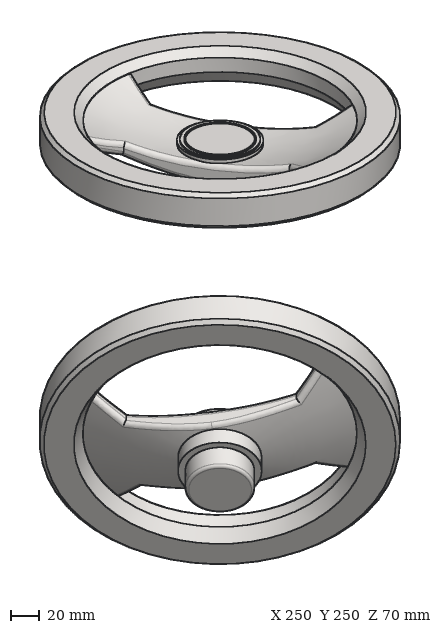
import cadquery as cq
import math

rim_radius = 125.0
rim_height = 27.5
rim_edge_chamfer = 3.0
bore_radius = 95.0
bore_flare = 6.2
upper_flare_depth = 6.0
lower_flare_depth = 10.2

web_radius = bore_radius + 2.5
dish_inner_radius = 27.5
dish_middle_radius = 68.5
top_inner_z = 3.0
top_middle_z = 11.0
top_outer_z = 22.2
bottom_inner_z = -12.8
bottom_middle_z = 0.0
bottom_outer_z = 11.8
web_edge_fillet = 3.8

bar_half_width = 32.8
bar_half_length = 60.0

collar_radius = 29.0
collar_bottom_z = -25.0
shank_radius = 24.0
shank_bottom_z = -42.5
shank_end_fillet = 2.2
cap_base_radius = 30.0
cap_radius = 28.0
cap_step_z = 6.0
cap_top_z = 7.0
cap_groove_outer_radius = 25.0
cap_groove_inner_radius = 24.0
cap_groove_depth = 0.5


def make_rim():
    flare_radius = bore_radius + bore_flare
    profile = (
        cq.Workplane("XZ")
        .moveTo(flare_radius, 0)
        .lineTo(rim_radius - rim_edge_chamfer, 0)
        .lineTo(rim_radius, rim_edge_chamfer)
        .lineTo(rim_radius, rim_height - rim_edge_chamfer)
        .lineTo(rim_radius - rim_edge_chamfer, rim_height)
        .lineTo(flare_radius, rim_height)
        .lineTo(bore_radius, rim_height - upper_flare_depth)
        .lineTo(bore_radius, lower_flare_depth)
        .close()
    )
    return profile.revolve(360, (0, 0, 0), (0, 1, 0))


def make_dish():
    profile = (
        cq.Workplane("XZ")
        .moveTo(0, bottom_inner_z)
        .lineTo(dish_inner_radius, bottom_inner_z)
        .threePointArc((dish_middle_radius, bottom_middle_z), (web_radius, bottom_outer_z))
        .lineTo(web_radius, top_outer_z)
        .threePointArc((dish_middle_radius, top_middle_z), (dish_inner_radius, top_inner_z))
        .lineTo(0, top_inner_z)
        .close()
    )
    dish = profile.revolve(360, (0, 0, 0), (0, 1, 0))
    return dish.rotate((0, 0, 0), (0, 0, 1), 90)


def make_web():
    end_x = rim_radius
    end_y = bar_half_width + end_x - bar_half_length
    outline = (
        cq.Workplane("XY", origin=(0, 0, -rim_height))
        .polyline([
            (-end_x, end_y),
            (-bar_half_length, bar_half_width),
            (bar_half_length, bar_half_width),
            (end_x, end_y),
            (end_x, -end_y),
            (bar_half_length, -bar_half_width),
            (-bar_half_length, -bar_half_width),
            (-end_x, -end_y),
        ])
        .close()
        .extrude(3 * rim_height)
    )
    web = make_dish().intersect(outline)

    def is_flank_edge(edge):
        start = edge.startPoint()
        end = edge.endPoint()
        run = math.hypot(end.x - start.x, end.y - start.y)
        middle = edge.positionAt(0.5)
        flank_y = bar_half_width + max(0, abs(middle.x) - bar_half_length)
        return run > web_edge_fillet and abs(abs(middle.y) - flank_y) < 0.002

    flank_edges = [edge for edge in web.edges().vals() if is_flank_edge(edge)]
    return web.newObject(flank_edges).fillet(web_edge_fillet)


def disc(radius, bottom_z, top_z):
    return cq.Workplane("XY", origin=(0, 0, bottom_z)).circle(radius).extrude(top_z - bottom_z)


def make_hub():
    shank = disc(shank_radius, shank_bottom_z, 0).faces("<Z").edges().fillet(shank_end_fillet)
    return shank.union(disc(collar_radius, collar_bottom_z, 0))


def make_cap():
    cap = disc(cap_base_radius, 0, cap_step_z).union(disc(cap_radius, 0, cap_top_z))
    groove_floor_z = cap_top_z - cap_groove_depth
    groove = disc(cap_groove_outer_radius, groove_floor_z, cap_top_z).cut(
        disc(cap_groove_inner_radius, groove_floor_z, cap_top_z)
    )
    return cap.cut(groove)


result = make_rim().union(make_web()).union(make_hub()).union(make_cap())